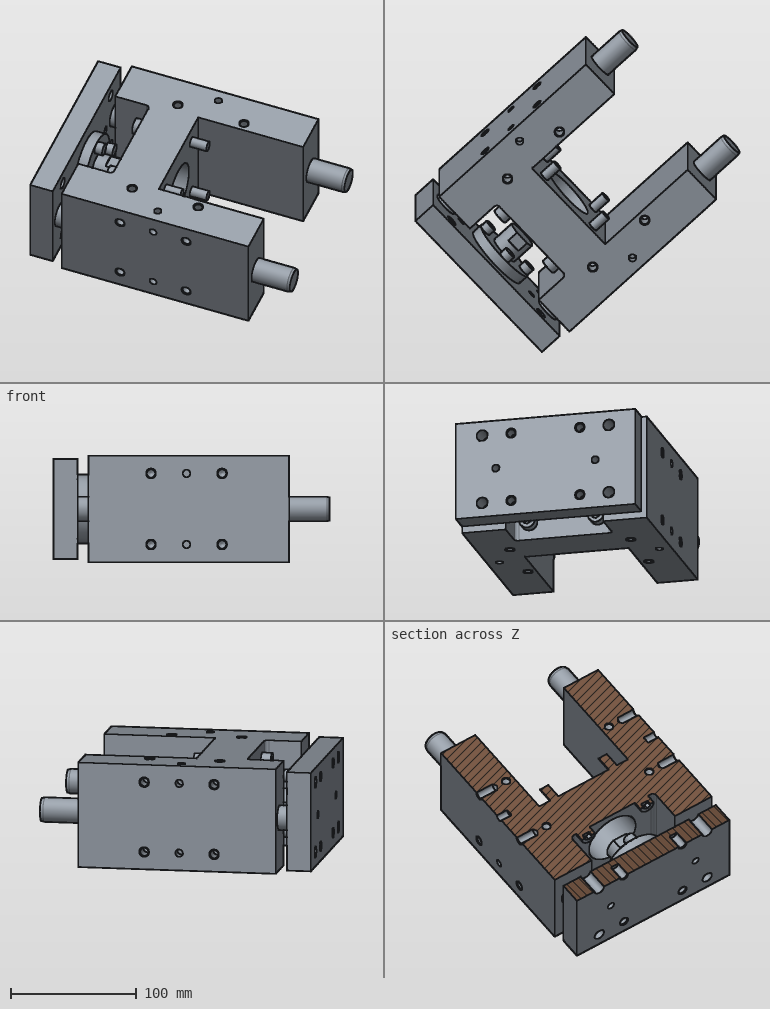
import cadquery as cq
import math


total_length = 220.0
plate_thickness = 19.4
housing_gap = 8.5
housing_length = 159.7
housing_front = plate_thickness + housing_gap
housing_rear = housing_front + housing_length

housing_width = 152.0
housing_height = 85.0
front_notch_depth = 29.5
front_notch_width = 80.3
notch_fillet = 3.0
rear_notch_width = 85.4
web_thickness = 40.5
web_front = housing_front + front_notch_depth
web_rear = web_front + web_thickness
web_bore_diameter = 45.0

plate_width = 147.6
plate_height = 79.9

rod_diameter = 19.8
rod_offset = 59.5
rod_chamfer_length = 2.5
rod_chamfer_depth = 0.7

hole_pitch = 56.5
half_pitch = hole_pitch / 2

thread_diameter = 6.5
thread_mouth_diameter = 8.0
thread_chamfer = (thread_mouth_diameter - thread_diameter) / 2
thread_depth = 15.5
plate_thread_depth = 13.2
drill_tip_angle = 118.0
dowel_diameter = 6.0
dowel_depth = 10.0
pattern_x = 106.0
top_thread_offset = 49.7
top_dowel_offset = 65.8
plate_screw_hole_diameter = 9.0
plate_screw_hole_offset = 52.1
plate_dowel_diameter = 6.0
plate_dowel_offset = 41.0

web_screw_head_diameter = 13.0
web_screw_head_height = 8.0
web_screw_diameter = 8.1
web_screw_tip_length = 14.0
web_socket_size = 6.0
web_socket_depth = 4.0
hexagon_sides = 6
socket_turn = 90.0

flange_diameter = 55.0
flange_thickness = housing_gap
flange_screw_count = 4
flange_screw_radius = 22.5
flange_screw_head_diameter = 10.0
flange_screw_head_height = 6.4
boss_diameter = 24.0
boss_length = 19.4
boss_flat_length = 9.5
boss_across_flats = 21.0

square_pattern = [(y, z) for y in (-half_pitch, half_pitch) for z in (-half_pitch, half_pitch)]


def rod_along_x(x_start, length, diameter, y=0.0, z=0.0):
    """Solid cylinder that runs toward +X."""
    return cq.Workplane("YZ", origin=(x_start, y, z)).circle(diameter / 2).extrude(length)


def box_from(x_start, length, width, height):
    """Box that runs toward +X, centred on Y = 0 and Z = 0."""
    return cq.Workplane("YZ", origin=(x_start, 0, 0)).rect(width, height).extrude(length)


def threaded_hole_cutter(mouth, inward, depth, tip_height):
    """Hole with a chamfered mouth and a conical bottom, or a flat one if tip_height is 0."""
    radius = thread_diameter / 2
    profile = (
        cq.Workplane("XY")
        .moveTo(0, 0)
        .lineTo(radius + thread_chamfer, 0)
        .lineTo(radius, thread_chamfer)
        .lineTo(radius, depth)
        .lineTo(0, depth + tip_height)
    )
    cutter = profile.close().revolve(360, (0, 0, 0), (0, 1, 0)).rotate((0, 0, 0), (1, 0, 0), 90)
    placement = cq.Plane(origin=mouth, normal=inward)
    return cutter.val().moved(cq.Location(placement))


def dowel_cutter(mouth, inward):
    return cq.Solid.makeCylinder(dowel_diameter / 2, dowel_depth, cq.Vector(*mouth), cq.Vector(*inward))


def housing_block():
    block = box_from(housing_front, housing_length, housing_width, housing_height)
    front_notch = box_from(housing_front, front_notch_depth, front_notch_width, housing_height)
    front_notch = front_notch.edges("|Z and >X").fillet(notch_fillet)
    rear_notch = box_from(web_rear, housing_rear - web_rear, rear_notch_width, housing_height)
    web_bore = rod_along_x(web_front, web_thickness, web_bore_diameter)
    return block.cut(front_notch).cut(rear_notch).cut(web_bore)


def cut_rod_bores(block):
    for y in (-rod_offset, rod_offset):
        block = block.cut(rod_along_x(housing_front, housing_length, rod_diameter, y))
    return block


def cut_face_holes(block):
    """Mounting holes in the four long outer faces."""
    tip_height = thread_diameter / 2 / math.tan(math.radians(drill_tip_angle / 2))
    thread_xs = (pattern_x - half_pitch, pattern_x + half_pitch)
    for face in (-1, 1):
        side_y = face * housing_width / 2
        top_z = face * housing_height / 2
        for mirror in (-1, 1):
            side_z = mirror * half_pitch
            block = block.cut(cq.Workplane(dowel_cutter((pattern_x, side_y, side_z), (0, -face, 0))))
            dowel_mouth = (pattern_x, mirror * top_dowel_offset, top_z)
            block = block.cut(cq.Workplane(dowel_cutter(dowel_mouth, (0, 0, -face))))
            for x in thread_xs:
                side_hole = threaded_hole_cutter((x, side_y, side_z), (0, -face, 0), thread_depth, tip_height)
                top_mouth = (x, mirror * top_thread_offset, top_z)
                top_hole = threaded_hole_cutter(top_mouth, (0, 0, -face), thread_depth, tip_height)
                block = block.cut(cq.Workplane(side_hole)).cut(cq.Workplane(top_hole))
    return block


def add_web_screws(block):
    """Socket-head screws through the web, with their tips standing out behind it."""
    head_face = web_front - web_screw_head_height
    socket_corner_diameter = web_socket_size / math.cos(math.pi / hexagon_sides)
    for y, z in square_pattern:
        head = rod_along_x(head_face, web_screw_head_height, web_screw_head_diameter, y, z)
        shank = rod_along_x(web_front, web_thickness + web_screw_tip_length, web_screw_diameter, y, z)
        socket = (
            cq.Workplane("YZ", origin=(head_face, y, z))
            .transformed(rotate=(0, 0, socket_turn))
            .polygon(hexagon_sides, socket_corner_diameter)
            .extrude(web_socket_depth)
        )
        block = block.union(head.cut(socket)).union(shank)
    return block


def make_housing():
    return add_web_screws(cut_face_holes(cut_rod_bores(housing_block())))


def front_plate():
    plate = box_from(0, plate_thickness, plate_width, plate_height)
    for y, z in square_pattern:
        hole = threaded_hole_cutter((0, y, z), (1, 0, 0), plate_thread_depth, 0)
        plate = plate.cut(cq.Workplane(hole))
    for y in (-plate_screw_hole_offset, plate_screw_hole_offset):
        for z in (-half_pitch, half_pitch):
            plate = plate.cut(rod_along_x(0, plate_thickness, plate_screw_hole_diameter, y, z))
    for y in (-plate_dowel_offset, plate_dowel_offset):
        plate = plate.cut(rod_along_x(0, plate_thickness, plate_dowel_diameter, y))
    return plate


def guide_rod(y):
    """Rod with a shallow lead-in chamfer at its free end."""
    radius = rod_diameter / 2
    return (
        cq.Workplane("XY")
        .moveTo(plate_thickness, 0)
        .lineTo(plate_thickness, radius)
        .lineTo(total_length - rod_chamfer_length, radius)
        .lineTo(total_length, radius - rod_chamfer_depth)
        .lineTo(total_length, 0)
        .close()
        .revolve(360, (0, 0, 0), (1, 0, 0))
        .translate((0, y, 0))
    )


def coupling():
    """Flange with four screw heads and a central boss with two wrench flats."""
    flange_rear = plate_thickness + flange_thickness
    boss_end = flange_rear + boss_length
    flange = rod_along_x(plate_thickness, flange_thickness, flange_diameter)
    boss = rod_along_x(flange_rear, boss_length, boss_diameter)
    flat_start = boss_end - boss_flat_length
    flat_stock = box_from(flat_start, boss_flat_length, boss_diameter, boss_diameter)
    flat_core = box_from(flat_start, boss_flat_length, boss_diameter, boss_across_flats)
    body = flange.union(boss.cut(flat_stock.cut(flat_core)))
    for index in range(flange_screw_count):
        angle = 2 * math.pi * index / flange_screw_count
        y = flange_screw_radius * math.cos(angle)
        z = flange_screw_radius * math.sin(angle)
        head = rod_along_x(flange_rear, flange_screw_head_height, flange_screw_head_diameter, y, z)
        body = body.union(head)
    return body


def make_slide():
    slide = front_plate().union(coupling())
    for y in (-rod_offset, rod_offset):
        slide = slide.union(guide_rod(y))
    return slide


housing = make_housing()
slide = make_slide()

result = cq.Compound.makeCompound([housing.solids().val(), slide.solids().val()])